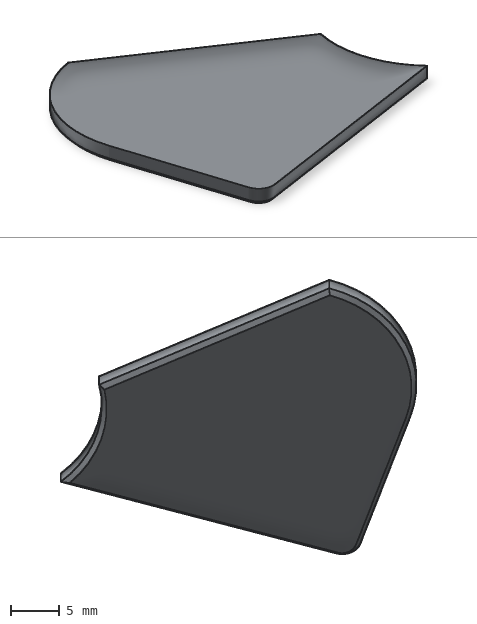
import cadquery as cq
import math

side = 32.0
thickness = 2.0
large_radius = 13.0
small_radius = 2.0
bevel = 0.5

slant_top_x = side - large_radius

concave_span = side - slant_top_x
concave_depth = large_radius - math.sqrt(large_radius**2 - (concave_span / 2) ** 2)
concave_middle = (slant_top_x + concave_span / 2, side - concave_depth)


def corner_arc_inset(radius):
    """Return how far a rounded corner's middle lies from each of its two sides."""
    return radius * (1 - math.sqrt(0.5))


def make_plate():
    """Build the flat plate with its outline's lower left limits at the origin."""
    large_inset = corner_arc_inset(large_radius)
    small_inset = corner_arc_inset(small_radius)
    return (
        cq.Workplane("XY")
        .moveTo(large_radius, 0)
        .lineTo(side - small_radius, 0)
        .threePointArc((side - small_inset, small_inset), (side, small_radius))
        .lineTo(side, side)
        .threePointArc(concave_middle, (slant_top_x, side))
        .lineTo(0, large_radius)
        .threePointArc((large_inset, large_inset), (large_radius, 0))
        .close()
        .extrude(thickness)
    )


def bevel_bottom(plate):
    """Chamfer the whole outline of the bottom face."""
    return plate.faces("<Z").edges().chamfer(bevel)


result = bevel_bottom(make_plate())